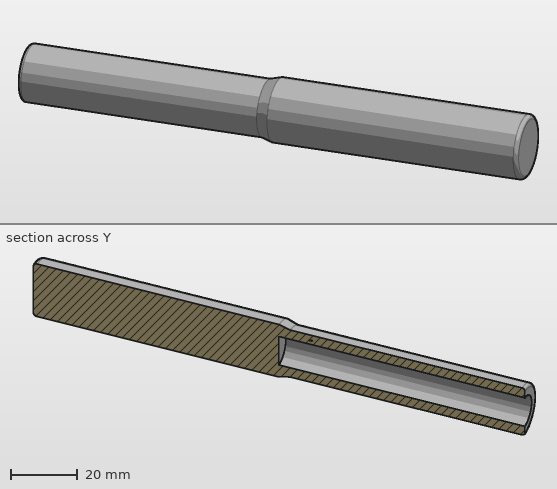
import cadquery as cq

length = 160.0
body_diameter = 20.0
neck_diameter = 18.0

neck_length = 76.3
taper_length = 3.7
neck_round = 1.0
body_round = 1.3

bore_diameter = 10.5
bore_depth = 80.0

body_radius = body_diameter / 2
neck_radius = neck_diameter / 2
start_x = -length / 2
end_x = length / 2
neck_end_x = start_x + neck_length
body_start_x = neck_end_x + taper_length


def make_rod():
    """Revolve the half outline of the neck, taper and body about the X axis."""
    outline = (
        cq.Workplane("XY")
        .moveTo(start_x, 0)
        .lineTo(start_x, neck_radius - neck_round)
        .radiusArc((start_x + neck_round, neck_radius), neck_round)
        .lineTo(neck_end_x, neck_radius)
        .lineTo(body_start_x, body_radius)
        .lineTo(end_x - body_round, body_radius)
        .radiusArc((end_x, body_radius - body_round), body_round)
        .lineTo(end_x, 0)
        .close()
    )
    return outline.revolve(360, (0, 0, 0), (1, 0, 0))


def make_bore():
    """Flat-bottomed cylinder entering from the neck end."""
    mouth = cq.Workplane("YZ").workplane(offset=start_x)
    return mouth.circle(bore_diameter / 2).extrude(bore_depth)


result = make_rod().cut(make_bore())